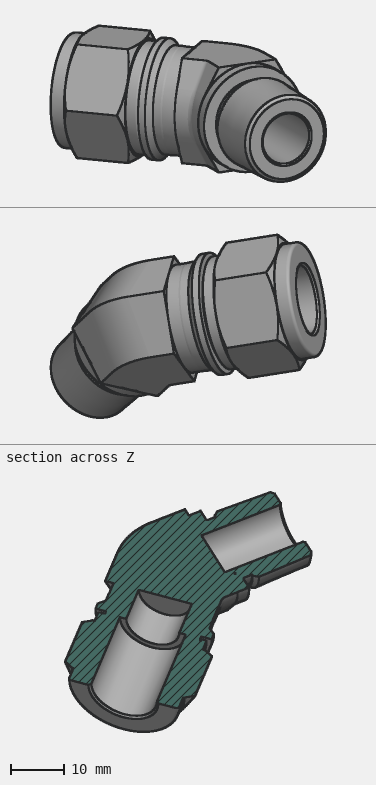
import cadquery as cq
import math

bend_angle = 45.0
inlet_length = 24.5
elbow_leg = 7.4
bend_x = inlet_length + elbow_leg

rim_diameter = 21.8
rim_fillet = 0.6
nut_start = 2.9
nut_end = 14.95
nut_flats = 22.25
nut_chamfer_angle = 30.0
back_collar_diameter = 21.5
back_collar_end = 17.2
back_collar_fillet = 0.25
neck_diameter = 18.9
neck_end = 17.65
flange_diameter = 23.0
flange_end = 19.05
flange_cone_end = 20.2
seal_ring_diameter = 20.6
seal_ring_taper_start = 21.7
seal_ring_end = 22.05
shoulder_diameter = 20.5

elbow_flats = 20.55
outer_bend_radius = 14.4
inner_bend_radius = 1.25

outlet_collar_length = 2.45
outlet_neck_diameter = 15.5
outlet_neck_length = 1.8
thread_start_diameter = 16.1
thread_large_diameter = 17.55
thread_small_diameter = 16.9
thread_lead_in = 0.9
thread_length = 10.95
tip_diameter = 15.5
tip_chamfer = 0.55
outlet_collar_end = elbow_leg + outlet_collar_length
outlet_neck_end = outlet_collar_end + outlet_neck_length
thread_start = outlet_neck_end + thread_lead_in
thread_end = thread_start + thread_length
tip = thread_end + tip_chamfer

socket_diameter = 12.9
socket_mouth_diameter = 13.8
socket_depth = 17.2
inlet_bore_diameter = 10.4
outlet_bore_diameter = 9.7
outlet_mouth_diameter = 10.4


def revolved(stations):
    """Solid of revolution about X from (x, diameter) stations."""
    radii = [(x, diameter / 2) for x, diameter in stations]
    outline = [(stations[0][0], 0)] + radii + [(stations[-1][0], 0)]
    return cq.Workplane("XY").polyline(outline).close().revolve(360, (0, 0), (1, 0))


def to_outlet(solid):
    """Move a solid built along +X from the origin onto the outlet axis."""
    return solid.rotate((0, 0, 0), (0, 0, 1), -bend_angle).translate((bend_x, 0, 0))


def round_rim(turning, x, diameter, radius):
    """Fillet the outermost circular edge of a turned part at station x."""
    margin = 0.025
    station = cq.selectors.BoxSelector(
        (x - margin, -diameter, -diameter),
        (x + margin, diameter, diameter),
        boundingbox=True,
    )
    return turning.edges(station).edges(cq.selectors.RadiusNthSelector(-1)).fillet(radius)


def inlet_turning():
    turning = revolved([
        (0, rim_diameter),
        (nut_start, rim_diameter),
        (nut_start, back_collar_diameter),
        (back_collar_end, back_collar_diameter),
        (back_collar_end, neck_diameter),
        (neck_end, neck_diameter),
        (neck_end, flange_diameter),
        (flange_end, flange_diameter),
        (flange_cone_end, seal_ring_diameter),
        (seal_ring_taper_start, seal_ring_diameter),
        (seal_ring_end, shoulder_diameter),
        (inlet_length, shoulder_diameter),
    ])
    turning = round_rim(turning, 0, rim_diameter, rim_fillet)
    return round_rim(turning, back_collar_end, back_collar_diameter, back_collar_fillet)


def nut():
    """Hexagonal nut with corners on the Y axis and both ends chamfered."""
    corner_diameter = nut_flats / math.cos(math.pi / 6)
    chamfer_length = (corner_diameter - nut_flats) / 2 * math.tan(math.radians(nut_chamfer_angle))
    hexagon = (
        cq.Workplane("YZ", origin=(nut_start, 0, 0))
        .polygon(6, corner_diameter)
        .extrude(nut_end - nut_start)
    )
    envelope = revolved([
        (nut_start, nut_flats),
        (nut_start + chamfer_length, corner_diameter),
        (nut_end - chamfer_length, corner_diameter),
        (nut_end, nut_flats),
    ])
    return hexagon.intersect(envelope)


def elbow_bar(start_x, length):
    """Bar along X: a hexagon whose -Y corner is replaced by its inscribed circle."""
    radius = elbow_flats / 2
    corner = radius / math.cos(math.pi / 6)
    tangent_y = -radius * math.cos(math.pi / 6)
    tangent_z = radius / 2
    return (
        cq.Workplane("YZ", origin=(start_x, 0, 0))
        .moveTo(tangent_y, tangent_z)
        .lineTo(-corner / 2, radius)
        .lineTo(corner / 2, radius)
        .lineTo(corner, 0)
        .lineTo(corner / 2, -radius)
        .lineTo(-corner / 2, -radius)
        .lineTo(tangent_y, -tangent_z)
        .threePointArc((-radius, 0), (tangent_y, tangent_z))
        .close()
        .extrude(length)
    )


def elbow():
    """Two bars mitred at the bend point, with the outside and inside of the bend rounded."""
    overrun = elbow_flats
    block = 4 * elbow_flats
    inlet_side = (
        cq.Workplane("XY")
        .box(block, block, block)
        .translate((-block / 2, 0, 0))
        .rotate((0, 0, 0), (0, 0, 1), -bend_angle / 2)
        .translate((bend_x, 0, 0))
    )
    inlet_leg = elbow_bar(inlet_length, elbow_leg + overrun).intersect(inlet_side)
    outlet_leg = to_outlet(elbow_bar(-overrun, elbow_leg + overrun)).cut(inlet_side)
    body = inlet_leg.union(outlet_leg)
    mitre_angle = math.radians(bend_angle / 2)
    mitre = cq.selectors.PerpendicularDirSelector(cq.Vector(math.cos(mitre_angle), -math.sin(mitre_angle), 0))
    corner_y = elbow_flats / 2 / math.sqrt(3)
    outside = cq.selectors.BoxSelector(
        (bend_x, corner_y, -elbow_flats / 2),
        (bend_x + elbow_leg, elbow_flats, elbow_flats / 2),
    )
    inside = cq.selectors.BoxSelector(
        (bend_x - elbow_leg, -elbow_flats, -elbow_flats / 2),
        (bend_x, -corner_y, elbow_flats / 2),
    )
    body = body.edges(outside).edges(mitre).fillet(outer_bend_radius)
    return body.edges(inside).edges(mitre).fillet(inner_bend_radius)


def outlet_turning():
    return to_outlet(revolved([
        (elbow_leg, shoulder_diameter),
        (outlet_collar_end, shoulder_diameter),
        (outlet_collar_end, outlet_neck_diameter),
        (outlet_neck_end, outlet_neck_diameter),
        (outlet_neck_end, thread_start_diameter),
        (thread_start, thread_large_diameter),
        (thread_end, thread_small_diameter),
        (tip, tip_diameter),
    ]))


def inlet_bore():
    mouth_depth = (socket_mouth_diameter - socket_diameter) / 2
    return revolved([
        (0, socket_mouth_diameter),
        (mouth_depth, socket_diameter),
        (socket_depth, socket_diameter),
        (socket_depth, inlet_bore_diameter),
        (inlet_length, inlet_bore_diameter),
    ])


def outlet_bore():
    mouth_depth = (outlet_mouth_diameter - outlet_bore_diameter) / 2
    return to_outlet(revolved([
        (elbow_leg, outlet_bore_diameter),
        (tip - mouth_depth, outlet_bore_diameter),
        (tip, outlet_mouth_diameter),
    ]))


body = inlet_turning().union(nut()).union(elbow()).union(outlet_turning())
result = body.cut(inlet_bore()).cut(outlet_bore())